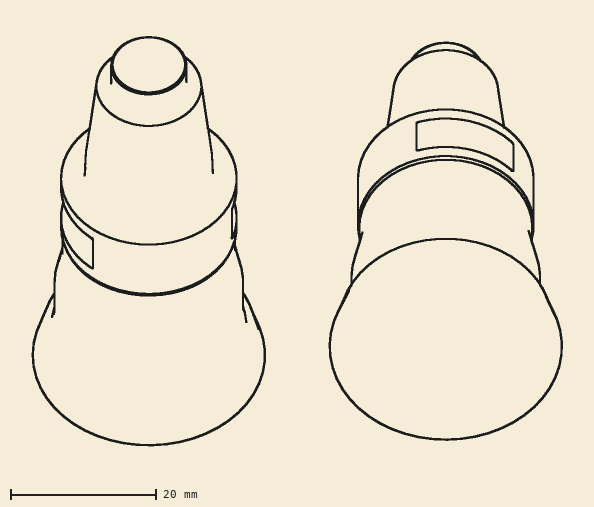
import math

import cadquery as cq

total_height = 64.0
pin_base_z = 59.5
nose_taper_z = 44.5
collar_top_z = 40.05
joint_z = 29.05
shoulder_top_z = 24.0
shoulder_bottom_z = 18.1
flare_top_z = 12.5
rim_top_z = 8.3

pin_diameter = 10.4
nose_top_diameter = 14.45
nose_taper_diameter = 17.4
nose_base_diameter = 17.65
collar_diameter = 24.2
knob_neck_diameter = 23.8
knob_grip_diameter = 26.0
flare_base_diameter = 26.9
rim_top_diameter = 29.0
rim_diameter = 32.0

pin_edge_chamfer = 0.2
step_fillet = 0.5
collar_edge_height = 0.6
shoulder_edge_round = 1.6
flare_foot_fillet = 0.3
rim_top_round = 0.65
rim_round = 1.15
rim_angle = math.radians(15)

flat_spacing = 19.85
flat_bottom_z = 31.7
flat_height = 6.35
flat_corner_fillet = 0.25


def nose_outline():
    """Half profile of the pin, tapered nose and collar in the XZ plane."""
    pin_radius = pin_diameter / 2
    nose_base_radius = nose_base_diameter / 2
    taper_direction = (nose_taper_diameter / 2 - nose_top_diameter / 2, nose_taper_z - pin_base_z)
    return (
        cq.Workplane("XZ")
        .moveTo(0, joint_z)
        .lineTo(knob_neck_diameter / 2, joint_z)
        .lineTo(collar_diameter / 2, joint_z + collar_edge_height)
        .lineTo(collar_diameter / 2, collar_top_z)
        .lineTo(nose_base_radius + step_fillet, collar_top_z)
        .radiusArc((nose_base_radius, collar_top_z + step_fillet), step_fillet)
        .spline(
            [(nose_taper_diameter / 2, nose_taper_z)],
            tangents=[(0, 1), (-taper_direction[0], -taper_direction[1])],
            includeCurrent=True,
        )
        .lineTo(nose_top_diameter / 2, pin_base_z)
        .lineTo(pin_radius + step_fillet, pin_base_z)
        .radiusArc((pin_radius, pin_base_z + step_fillet), step_fillet)
        .lineTo(pin_radius, total_height - pin_edge_chamfer)
        .lineTo(pin_radius - pin_edge_chamfer, total_height)
        .lineTo(0, total_height)
        .close()
    )


def wrench_flat_cutter(side):
    """Block that cuts one wrench flat; side is -1 or +1 along Y."""
    cutter_depth = collar_diameter / 2
    return (
        cq.Workplane("XY")
        .box(collar_diameter, cutter_depth, flat_height)
        .edges("|X")
        .fillet(flat_corner_fillet)
        .translate((0, side * (flat_spacing + cutter_depth) / 2, flat_bottom_z + flat_height / 2))
    )


def make_plunger_body():
    """Pin, tapered nose and collar with two opposite wrench flats."""
    body = nose_outline().revolve(360, (0, 0), (0, 1))
    for side in (-1, 1):
        body = body.cut(wrench_flat_cutter(side))
    return body


def make_knob():
    """Turned knob with a conical shoulder, a flared grip and a rounded rim."""
    grip_radius = knob_grip_diameter / 2
    flare_base_radius = flare_base_diameter / 2
    flare_base_z = rim_top_z + flare_foot_fillet

    flare_growth = flare_base_radius - grip_radius
    flare_drop = flare_top_z - flare_base_z
    flare_radius = (flare_growth**2 + flare_drop**2) / (2 * flare_growth)

    round_x = rim_diameter / 2 - rim_round
    along = rim_round * math.cos(rim_angle)
    across = rim_round * math.sin(rim_angle)
    cone_run = round_x + along - rim_top_diameter / 2
    round_z = rim_top_z - cone_run / math.tan(rim_angle) - across
    underside_x = round_x + across
    underside_z = round_z - along
    bottom_radius = underside_x - underside_z / math.tan(rim_angle)

    top_turn = math.pi / 2 - rim_angle
    top_tangent = rim_top_round * math.tan(top_turn / 2)

    shoulder_growth = grip_radius - knob_neck_diameter / 2
    shoulder_angle = math.atan2(shoulder_growth, shoulder_top_z - shoulder_bottom_z)
    shoulder_tangent = shoulder_edge_round * math.tan(shoulder_angle / 2)

    outline = (
        cq.Workplane("XZ")
        .lineTo(bottom_radius, 0)
        .lineTo(underside_x, underside_z)
        .threePointArc(
            (rim_diameter / 2, round_z),
            (round_x + along, round_z + across),
        )
        .lineTo(
            rim_top_diameter / 2 + top_tangent * math.sin(rim_angle),
            rim_top_z - top_tangent * math.cos(rim_angle),
        )
        .radiusArc((rim_top_diameter / 2 - top_tangent, rim_top_z), -rim_top_round)
        .lineTo(flare_base_radius + flare_foot_fillet, rim_top_z)
        .radiusArc((flare_base_radius, flare_base_z), flare_foot_fillet)
        .radiusArc((grip_radius, flare_top_z), flare_radius)
        .lineTo(grip_radius, shoulder_bottom_z - shoulder_tangent)
        .radiusArc(
            (
                grip_radius - shoulder_tangent * math.sin(shoulder_angle),
                shoulder_bottom_z + shoulder_tangent * math.cos(shoulder_angle),
            ),
            -shoulder_edge_round,
        )
        .lineTo(knob_neck_diameter / 2, shoulder_top_z)
        .lineTo(knob_neck_diameter / 2, joint_z)
        .lineTo(0, joint_z)
        .close()
    )
    return outline.revolve(360, (0, 0), (0, 1))


plunger_body = make_plunger_body()
knob = make_knob()

result = cq.Compound.makeCompound([plunger_body.val(), knob.val()])